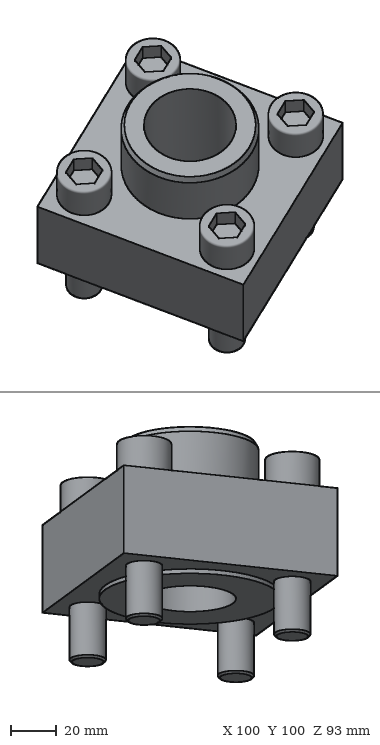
import cadquery as cq
import math

block_side = 100.0
block_height = 40.0

hub_diameter = 60.3
hub_height = 28.0
hub_chamfer_height = 2.5
hub_chamfer_angle = 30.0
bore_diameter = 40.3
spigot_diameter = 79.4
spigot_height = 2.0

screw_spacing = 69.3
shank_diameter = 16.0
shank_projection = 25.0
shank_chamfer = 1.0
head_diameter = 24.0
head_height = 16.0
head_rounding = 1.0
socket_across_flats = 14.0
socket_depth = 8.0


def cylinder(diameter, bottom, height):
    return cq.Workplane("XY").workplane(offset=bottom).circle(diameter / 2).extrude(height)


def make_flange():
    """Square block with hub, spigot and a through bore."""
    block = cq.Workplane("XY").rect(block_side, block_side).extrude(block_height)
    chamfer_width = hub_chamfer_height * math.tan(math.radians(hub_chamfer_angle))
    hub_edge = cylinder(hub_diameter, block_height, hub_height).faces(">Z").edges()
    hub = hub_edge.chamfer(hub_chamfer_height, chamfer_width)
    spigot = cylinder(spigot_diameter, -spigot_height, spigot_height)
    bore_length = spigot_height + block_height + hub_height
    bore = cylinder(bore_diameter, -spigot_height, bore_length)
    return block.union(hub).union(spigot).cut(bore)


def make_screw():
    """Screw on the Z axis; its shank starts inside the block so the two join."""
    shank_length = shank_projection + block_height
    shank = cylinder(shank_diameter, -shank_projection, shank_length)
    shank = shank.faces("<Z").edges().chamfer(shank_chamfer)
    head = cylinder(head_diameter, block_height, head_height)
    head = head.faces(">Z").edges().fillet(head_rounding)
    socket_corner_diameter = socket_across_flats / math.cos(math.radians(30))
    socket = (
        cq.Workplane("XY")
        .workplane(offset=block_height + head_height - socket_depth)
        .transformed(rotate=(0, 0, 90))
        .polygon(6, socket_corner_diameter)
        .extrude(socket_depth)
    )
    return shank.union(head).cut(socket)


result = make_flange()
screw = make_screw()
for x_side in (-1, 1):
    for y_side in (-1, 1):
        position = (x_side * screw_spacing / 2, y_side * screw_spacing / 2, 0)
        result = result.union(screw.translate(position))